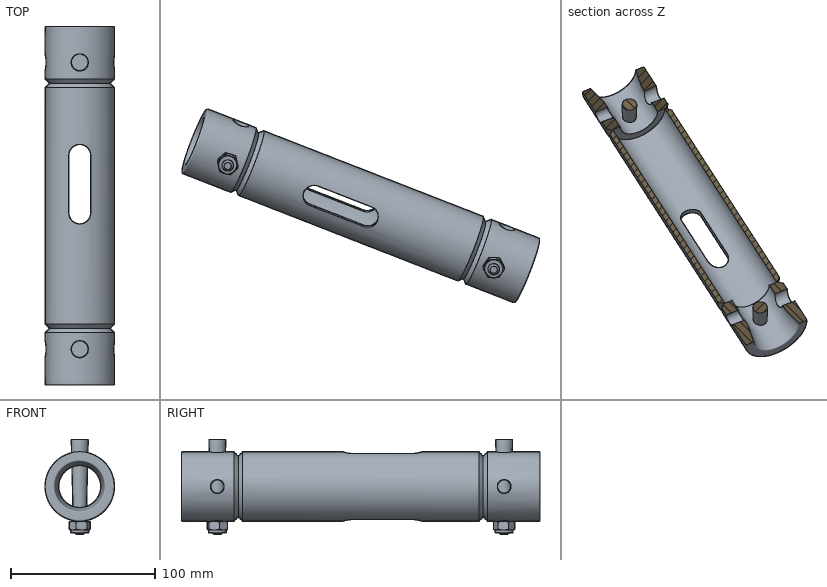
import cadquery as cq
import math

outer_diameter = 48.3
total_length = 249.0
coupler_length = 39.5
weld_chamfer = 3.0
rim_fillet = 1.0
mouth_fillet = 0.8
tube_bore_diameter = 40.3
socket_mouth_diameter = 35.0
socket_throat_diameter = 29.0
socket_cone_depth = 15.0

slot_width = 15.0
slot_length = 55.0
slot_center_y = 15.0

pin_distance_from_end = 25.0
pin_top_z = 32.8
pin_length = 66.0
pin_top_diameter = 12.0
pin_taper = 1 / 20
pin_top_fillet = 1.0
thread_diameter = 8.0
thread_chamfer = 1.5

nut_across_flats = 13.0
nut_hex_height = 6.0
nut_height = 8.0
nut_collar_diameter = 12.6
nut_collar_fillet = 0.5
nut_chamfer_angle = 30.0
front_nut_rotation = 11.0
rear_nut_rotation = 25.0

outer_radius = outer_diameter / 2
half_length = total_length / 2
tube_half_length = half_length - coupler_length
pin_center_y = half_length - pin_distance_from_end
pin_seat_z = -outer_radius
pin_bottom_z = pin_top_z - pin_length


def pin_radius_at(z):
    """Radius of the pin taper at a height z; pin_taper is change of diameter per length."""
    return (pin_top_diameter - pin_taper * (pin_top_z - z)) / 2


def revolve_about_y(profile):
    return profile.close().revolve(360, (0, 0, 0), (0, 1, 0))


def make_tube():
    """Central tube, bevelled outside at both ends and slotted from top to bottom."""
    bore_radius = tube_bore_diameter / 2
    tube = revolve_about_y(
        cq.Workplane("XY")
        .moveTo(bore_radius, -tube_half_length)
        .lineTo(outer_radius - weld_chamfer, -tube_half_length)
        .lineTo(outer_radius, -tube_half_length + weld_chamfer)
        .lineTo(outer_radius, tube_half_length - weld_chamfer)
        .lineTo(outer_radius - weld_chamfer, tube_half_length)
        .lineTo(bore_radius, tube_half_length)
    )
    slot = (
        cq.Workplane("XY")
        .center(0, slot_center_y)
        .slot2D(slot_length, slot_width, 90)
        .extrude(outer_radius, both=True)
    )
    return tube.cut(slot)


def make_taper_cone():
    """Tapered pin shank along Z, from the coupler's underside to the pin top."""
    return (
        cq.Workplane("XZ")
        .moveTo(0, pin_seat_z)
        .lineTo(pin_radius_at(pin_seat_z), pin_seat_z)
        .lineTo(pin_radius_at(pin_top_z), pin_top_z)
        .lineTo(0, pin_top_z)
        .close()
        .revolve(360, (0, 0, 0), (0, 1, 0))
    )


def make_coupler():
    """Coupler at the +Y end, with crossed taper holes: wide at +Z and at -X."""
    coupler = revolve_about_y(
        cq.Workplane("XY")
        .moveTo(socket_throat_diameter / 2, tube_half_length)
        .lineTo(outer_radius - weld_chamfer, tube_half_length)
        .lineTo(outer_radius, tube_half_length + weld_chamfer)
        .lineTo(outer_radius, half_length)
        .lineTo(socket_mouth_diameter / 2, half_length)
        .lineTo(socket_throat_diameter / 2, half_length - socket_cone_depth)
    )
    largest_circle = cq.selectors.RadiusNthSelector(-1)
    smallest_circle = cq.selectors.RadiusNthSelector(0)
    coupler = coupler.faces(">Y").edges(largest_circle).fillet(rim_fillet)
    coupler = coupler.faces(">Y").edges(smallest_circle).fillet(mouth_fillet)
    upright_hole = make_taper_cone()
    side_hole = upright_hole.rotate((0, 0, 0), (0, 1, 0), -90)
    for hole in (upright_hole, side_hole):
        coupler = coupler.cut(hole.translate((0, pin_center_y, 0)))
    return coupler


def make_pin():
    """Taper pin with a threaded end that passes through the nut."""
    shank = make_taper_cone().faces(">Z").fillet(pin_top_fillet)
    thread = (
        cq.Workplane("XY", origin=(0, 0, pin_bottom_z))
        .circle(thread_diameter / 2)
        .extrude(pin_seat_z - pin_bottom_z)
        .faces("<Z")
        .chamfer(thread_chamfer)
    )
    return shank.union(thread)


def make_nut(rotation):
    """Lock nut hanging below the coupler: a hexagon with a round collar under it."""
    flat_radius = nut_across_flats / 2
    corner_radius = flat_radius / math.cos(math.pi / 6)
    corner_drop = (corner_radius - flat_radius) * math.tan(math.radians(nut_chamfer_angle))
    hex_bottom_z = pin_seat_z - nut_hex_height
    hexagon = (
        cq.Workplane("XY", origin=(0, 0, pin_seat_z))
        .polygon(6, 2 * corner_radius)
        .extrude(-nut_hex_height)
        .rotate((0, 0, 0), (0, 0, 1), rotation)
    )
    envelope = (
        cq.Workplane("XZ")
        .moveTo(0, pin_seat_z)
        .lineTo(flat_radius, pin_seat_z)
        .lineTo(corner_radius, pin_seat_z - corner_drop)
        .lineTo(corner_radius, hex_bottom_z + corner_drop)
        .lineTo(flat_radius, hex_bottom_z)
        .lineTo(0, hex_bottom_z)
        .close()
        .revolve(360, (0, 0, 0), (0, 1, 0))
    )
    seat = cq.Workplane("XY", origin=(0, 0, pin_seat_z))
    collar = seat.circle(nut_collar_diameter / 2).extrude(-nut_height)
    collar = collar.faces("<Z").edges().fillet(nut_collar_fillet)
    hole = seat.circle(thread_diameter / 2).extrude(-nut_height)
    return hexagon.intersect(envelope).union(collar).cut(hole)


tube = make_tube()
rear_coupler = make_coupler()
couplers = [rear_coupler, rear_coupler.mirror("XZ")]
pins = []
nuts = []
for y, nut_rotation in ((-pin_center_y, front_nut_rotation), (pin_center_y, rear_nut_rotation)):
    pins.append(make_pin().translate((0, y, 0)))
    nuts.append(make_nut(nut_rotation).translate((0, y, 0)))

bodies = [tube, *couplers, *pins, *nuts]
result = cq.Compound.makeCompound([body.val() for body in bodies])